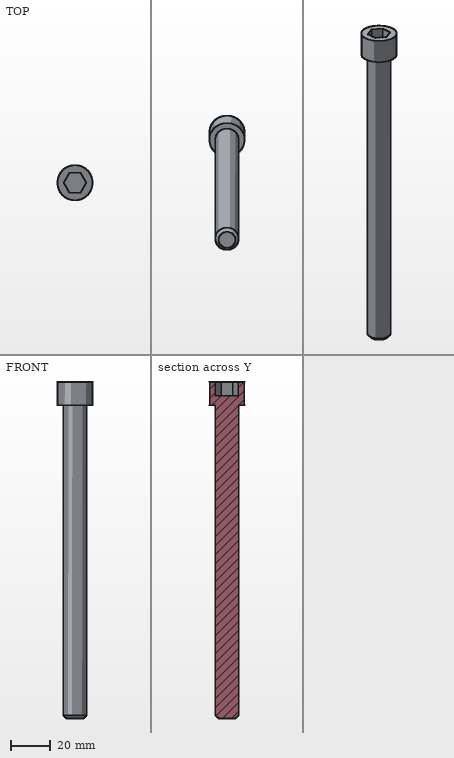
import cadquery as cq
import math

total_length = 172.0
shank_diameter = 12.0
head_diameter = 18.0
head_height = shank_diameter
tip_chamfer = 1.7
socket_width = 10.0
socket_depth = 7.0

shank_length = total_length - head_height
socket_corner_diameter = socket_width / math.cos(math.pi / 6)

shank = (
    cq.Workplane("XY")
    .circle(shank_diameter / 2)
    .extrude(shank_length)
    .faces("<Z")
    .chamfer(tip_chamfer)
)

head = (
    cq.Workplane("XY")
    .workplane(offset=shank_length)
    .circle(head_diameter / 2)
    .extrude(head_height)
)

socket = (
    cq.Workplane("XY")
    .workplane(offset=total_length - socket_depth)
    .polygon(6, socket_corner_diameter)
    .extrude(socket_depth)
)

result = shank.union(head).cut(socket)